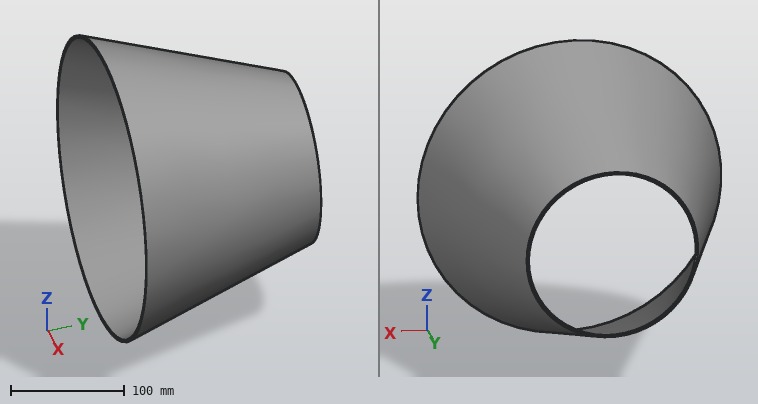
import cadquery as cq
import math

large_diameter = 273.0
small_diameter = 154.0
length = 178.0
wall = 2.0

large_radius = large_diameter / 2
small_radius = small_diameter / 2
large_end_y = -length / 2
small_end_y = length / 2

half_angle = math.atan((large_radius - small_radius) / length)
radial_wall = wall / math.cos(half_angle)

wall_section = (
    cq.Workplane("XY")
    .moveTo(large_radius - radial_wall, large_end_y)
    .lineTo(large_radius, large_end_y)
    .lineTo(small_radius, small_end_y)
    .lineTo(small_radius - radial_wall, small_end_y)
    .close()
)

result = wall_section.revolve(360, (0, 0, 0), (0, 1, 0))